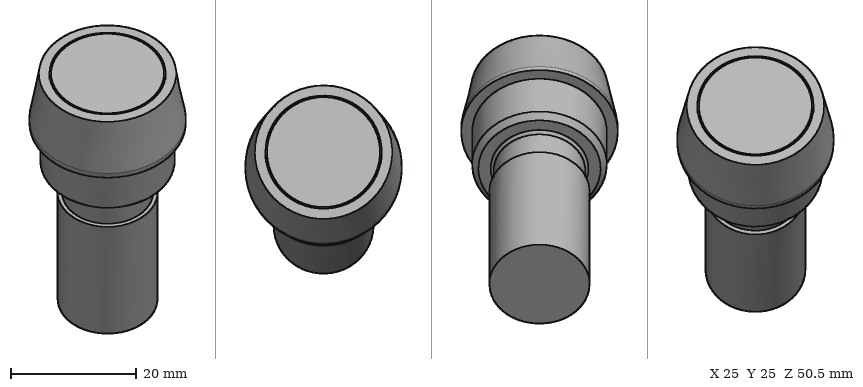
import cadquery as cq

total_height = 50.5
shank_height = 24.0
neck_height = 5.5
neck_flare_height = 0.5
barrel_height = 9.5
bezel_rim_height = 1.0

shank_diameter = 16.0
neck_diameter = 14.6
barrel_diameter = 21.5
barrel_chamfer = 1.0
bezel_diameter = 25.0
bezel_top_diameter = 21.9

button_diameter = 18.0
bore_diameter = 18.57

neck_top = shank_height + neck_height
barrel_bottom = neck_top + neck_flare_height
barrel_top = barrel_bottom + barrel_height
rim_top = barrel_top + bezel_rim_height

bore_floor = barrel_top
button_height = total_height - bore_floor


def make_housing():
    """Revolve the stepped outline about Z, then bore the recess for the button."""
    shank_radius = shank_diameter / 2
    neck_radius = neck_diameter / 2
    barrel_radius = barrel_diameter / 2
    outline = (
        cq.Workplane("XZ")
        .moveTo(0, 0)
        .lineTo(shank_radius, 0)
        .lineTo(shank_radius, shank_height)
        .lineTo(neck_radius, shank_height)
        .lineTo(neck_radius, neck_top)
        .lineTo(neck_radius + neck_flare_height, barrel_bottom)
        .lineTo(barrel_radius - barrel_chamfer, barrel_bottom)
        .lineTo(barrel_radius, barrel_bottom + barrel_chamfer)
        .lineTo(barrel_radius, barrel_top)
        .lineTo(bezel_diameter / 2, barrel_top)
        .lineTo(bezel_diameter / 2, rim_top)
        .lineTo(bezel_top_diameter / 2, total_height)
        .lineTo(0, total_height)
        .close()
    )
    body = outline.revolve(360, (0, 0, 0), (0, 1, 0))
    bore = (
        cq.Workplane("XY")
        .workplane(offset=bore_floor)
        .circle(bore_diameter / 2)
        .extrude(button_height)
    )
    return body.cut(bore)


def make_button():
    """Plain round plug standing on the bore floor, flush with the bezel top."""
    return (
        cq.Workplane("XY")
        .workplane(offset=bore_floor)
        .circle(button_diameter / 2)
        .extrude(button_height)
    )


housing = make_housing()
button = make_button()

result = cq.Compound.makeCompound([housing.val(), button.val()])